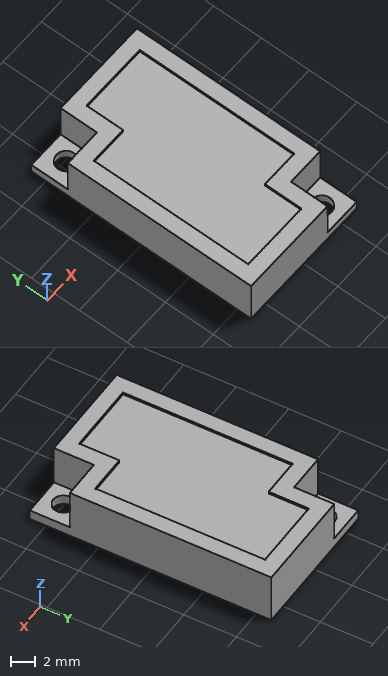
import cadquery as cq

width = 13.8
length = 23.0
height = 4.9

tab_size = 3.82
tab_thickness = 1.0
hole_diameter = 2.0
hole_inset_x = 2.07
hole_inset_y = 2.0

rim_width = 1.52
recess_depth = 0.2


def notched_prism(inset, bottom, depth):
    """Prism whose outline lies inside the body outline by the given inset."""
    x = width / 2 - inset
    y = length / 2 - inset
    points = [
        (-x, -y),
        (x - tab_size, -y),
        (x - tab_size, -y + tab_size),
        (x, -y + tab_size),
        (x, y),
        (-x + tab_size, y),
        (-x + tab_size, y - tab_size),
        (-x, y - tab_size),
    ]
    return cq.Workplane("XY").workplane(offset=bottom).polyline(points).close().extrude(depth)


base = cq.Workplane("XY").box(width, length, tab_thickness, centered=(True, True, False))

body = base.union(notched_prism(0, 0, height))
body = body.cut(notched_prism(rim_width, height - recess_depth, recess_depth))

hole_x = width / 2 - hole_inset_x
hole_y = length / 2 - hole_inset_y
holes = (
    cq.Workplane("XY")
    .pushPoints([(-hole_x, hole_y), (hole_x, -hole_y)])
    .circle(hole_diameter / 2)
    .extrude(tab_thickness)
)

result = body.cut(holes)